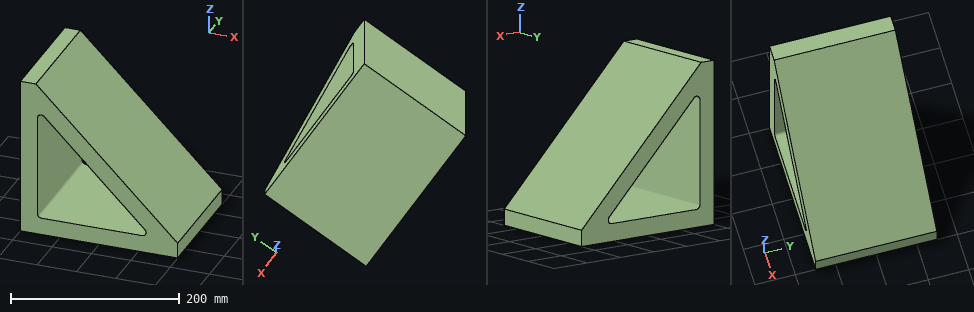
import cadquery as cq
import math

leg_length = 200.0
depth = 150.0
tip_width = 20.0
wall_thickness = 22.0
corner_radius = 5.0

outer_slope_sum = leg_length + tip_width
inner_slope_sum = outer_slope_sum - wall_thickness * math.sqrt(2)
window_reach = inner_slope_sum - wall_thickness


def extrude_profile(points):
    """Extrude an XZ outline along Y through the full depth."""
    return cq.Workplane("XZ").polyline(points).close().extrude(-depth)


body = extrude_profile([
    (0, 0),
    (leg_length, 0),
    (leg_length, tip_width),
    (tip_width, leg_length),
    (0, leg_length),
])

window = extrude_profile([
    (wall_thickness, wall_thickness),
    (window_reach, wall_thickness),
    (wall_thickness, window_reach),
]).edges("|Y").fillet(corner_radius)

result = body.cut(window)